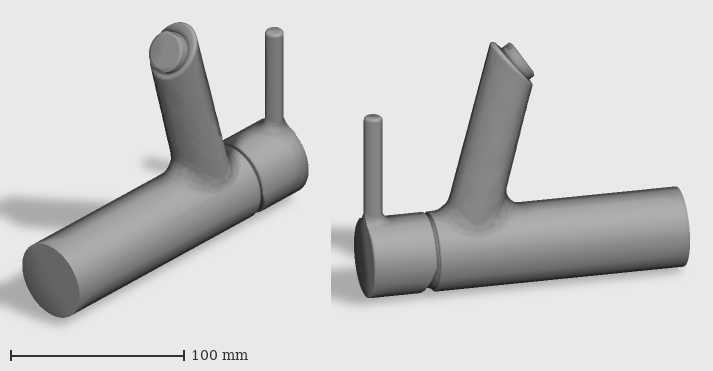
import cadquery as cq
import math

total_length = 188.5
barrel_radius = 23.28
barrel_length = 149.0
edge_chamfer = 0.5
joint_bottom_z = 11.3

spout_foot_y = 129.1
spout_foot_half_x = 16.8
spout_foot_half_y = 16.0
spout_top_y = 95.4
spout_top_z = 132.0
spout_top_half_x = 14.9
spout_top_half_y = 15.3
spout_blend_radius = 11.9

mouth_y = 100.0
mouth_z = 113.1
mouth_elevation = 39.7
mouth_rounding = 1.9

aerator_radius = 12.0
aerator_face_y = 93.5
aerator_face_z = 114.5
aerator_elevation = 34.1
aerator_chamfer_length = 1.0
aerator_chamfer_depth = 1.9
flat_distance = 11.1
flat_length = 4.0
aerator_depth = 15.0

ball_radius = 22.0
ball_center_y = 145.1

cap_front_y = 151.0
cap_bottom_y = 158.3
cap_back_rounding = 1.1
lever_radius = 5.37
lever_top_z = 87.5
lever_tip_rounding = 1.9
lever_blend_radius = 5.7
lever_blend_bottom_z = 19.8
lever_y = total_length - lever_radius


def cylinder_along_y(radius, start_y, end_y):
    return (
        cq.Workplane("XZ", origin=(0, start_y, 0))
        .circle(radius)
        .extrude(start_y - end_y)
    )


def slanted_plane(y, z, elevation):
    """Plane facing -Y and upward, with its local x along X."""
    angle = math.radians(elevation)
    return cq.Plane(
        origin=(0, y, z),
        xDir=(1, 0, 0),
        normal=(0, -math.cos(angle), math.sin(angle)),
    )


def beyond_mouth():
    """Block filling the space outside the mouth plane."""
    return cq.Workplane(mouth_plane).rect(total_length, total_length).extrude(total_length)


mouth_plane = slanted_plane(mouth_y, mouth_z, mouth_elevation)
ball = cq.Workplane("XY").sphere(ball_radius).translate((0, ball_center_y, 0))


def make_housing():
    barrel = cylinder_along_y(barrel_radius, 0, barrel_length).faces(">Y").chamfer(edge_chamfer)
    spout = (
        cq.Workplane("XY", origin=(0, spout_foot_y, 0))
        .ellipse(spout_foot_half_x, spout_foot_half_y)
        .workplane(offset=spout_top_z)
        .center(0, spout_top_y - spout_foot_y)
        .ellipse(spout_top_half_x, spout_top_half_y)
        .loft(ruled=True)
        .cut(beyond_mouth())
    )
    spout = spout.faces(cq.selectors.ParallelDirSelector(mouth_plane.zDir)).edges().fillet(mouth_rounding)
    joint = cq.selectors.BoxSelector(
        (-barrel_radius, spout_top_y, joint_bottom_z),
        (barrel_radius, barrel_length - 2 * edge_chamfer, barrel_radius + edge_chamfer),
        boundingbox=True,
    )
    return barrel.union(spout).edges(joint).fillet(spout_blend_radius)


def make_aerator():
    face_plane = slanted_plane(aerator_face_y, aerator_face_z, aerator_elevation)
    nozzle = (
        cq.Workplane(cq.Plane(origin=face_plane.origin, xDir=(1, 0, 0), normal=face_plane.yDir))
        .polyline([
            (0, 0),
            (aerator_radius - aerator_chamfer_depth, 0),
            (aerator_radius, aerator_chamfer_length),
            (aerator_radius, aerator_depth),
            (0, aerator_depth),
        ])
        .close()
        .revolve(360, (0, 0, 0), (0, 1, 0))
    )
    for side in (-1, 1):
        flat = (
            cq.Workplane(face_plane)
            .center(0, side * (flat_distance + aerator_radius / 2))
            .rect(2 * aerator_radius, aerator_radius)
            .extrude(-flat_length)
        )
        nozzle = nozzle.cut(flat)
    return nozzle.intersect(beyond_mouth())


def make_cartridge():
    return ball.intersect(cylinder_along_y(barrel_radius, barrel_length, total_length))


def make_handle():
    untrimmed_end = total_length + 2 * lever_blend_radius
    cap = cylinder_along_y(barrel_radius, cap_front_y, untrimmed_end).faces("<Y").chamfer(edge_chamfer)
    lever = (
        cq.Workplane("XY", origin=(0, lever_y, 0))
        .circle(lever_radius)
        .extrude(lever_top_z)
        .faces(">Z")
        .fillet(lever_tip_rounding)
    )
    joint = cq.selectors.BoxSelector(
        (-barrel_radius, lever_y - 2 * lever_radius, joint_bottom_z),
        (barrel_radius, lever_y + 2 * lever_radius, barrel_radius + edge_chamfer),
        boundingbox=True,
    )
    handle = cap.union(lever).edges(joint).fillet(lever_blend_radius)
    trim = cylinder_along_y(2 * lever_top_z, total_length, 2 * total_length)
    handle = handle.cut(trim).cut(make_back_rounding())
    return handle.cut(make_underside_relief()).cut(ball)


def make_back_rounding():
    """Ring that rounds the cap's rear rim everywhere below the lever blend."""
    rim = cylinder_along_y(barrel_radius, total_length - 2 * cap_back_rounding, total_length)
    ring = rim.cut(rim.faces(">Y").edges().fillet(cap_back_rounding))
    below_lever = (
        cq.Workplane("XY", origin=(0, total_length, lever_blend_bottom_z))
        .rect(4 * barrel_radius, 4 * barrel_radius)
        .extrude(-3 * barrel_radius)
    )
    return ring.intersect(below_lever)


def make_underside_relief():
    """Wedge that slants the lower half of the cap's front away from the barrel."""
    return (
        cq.Workplane("YZ")
        .polyline([
            (cap_front_y, 0),
            (cap_bottom_y, -barrel_radius),
            (cap_front_y, -barrel_radius),
        ])
        .close()
        .extrude(barrel_radius, both=True)
    )


housing = make_housing()
aerator = make_aerator()
cartridge = make_cartridge()
handle = make_handle()

result = cq.Compound.makeCompound([
    housing.val(),
    aerator.val(),
    cartridge.val(),
    handle.val(),
])